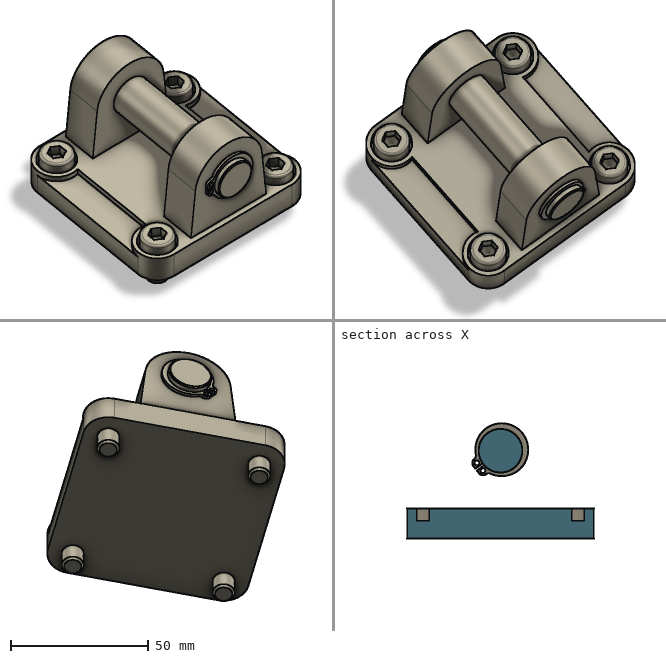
import cadquery as cq
import math

plate_size = 75.0
plate_height = 11.0
corner_radius = 9.3
recess_depth = 2.35
recess_start = 25.8

screw_offset = plate_size / 2 - corner_radius
counterbore_diameter = 15.0
head_diameter = 13.0
head_height = 8.0
head_top = 14.6
head_rounding = 0.9
shank_diameter = 8.0
shank_chamfer = 0.85
shank_bottom = -7.5
hex_across_flats = 6.0
hex_depth = 4.0
hex_tip_angle = 120.0
head_seat = head_top - head_height

pin_length = 78.0
pin_diameter = 16.0
pin_chamfer = 0.5
pin_height = 32.0
lug_inner = 20.0
lug_outer = 35.1
lug_radius = 16.0
lug_foot_half_width = 18.0

ring_thickness = 1.2
ring_clearance = 0.3
ring_radius = 9.7
ring_offset = 0.585
ear_reach = 11.2
ear_half_width = 3.5
ear_rounding = 1.7
ear_neck_fillet = 1.55
ear_hole_diameter = 1.7
ear_hole_reach = ear_reach - ear_rounding
ear_hole_spacing = 2 * (ear_half_width - ear_rounding)
ring_gap = 0.85
left_ring_turn = -142.0
right_ring_turn = 180.0

screw_places = [(sx * screw_offset, sy * screw_offset) for sx in (-1, 1) for sy in (-1, 1)]


def make_plate():
    plate = cq.Workplane("XY").box(plate_size, plate_size, plate_height, centered=(True, True, False))
    plate = plate.edges("|Z").fillet(corner_radius)

    recess_width = plate_size / 2 - recess_start
    recess_centre = recess_start + recess_width / 2
    recesses = (
        cq.Workplane("XY", origin=(0, 0, plate_height - recess_depth))
        .pushPoints([(0, -recess_centre), (0, recess_centre)])
        .rect(2 * screw_offset, recess_width)
        .extrude(recess_depth)
    )
    bosses = cq.Workplane("XY").pushPoints(screw_places).circle(corner_radius).extrude(plate_height)
    plate = plate.cut(recesses.cut(bosses))

    counterbores = (
        cq.Workplane("XY", origin=(0, 0, head_seat))
        .pushPoints(screw_places)
        .circle(counterbore_diameter / 2)
        .extrude(plate_height - head_seat)
    )
    return plate.cut(counterbores)


def make_screw():
    head = cq.Workplane("XY", origin=(0, 0, head_seat)).circle(head_diameter / 2).extrude(head_height)
    head = head.faces(">Z").edges().fillet(head_rounding)
    shank = (
        cq.Workplane("XY", origin=(0, 0, shank_bottom))
        .circle(shank_diameter / 2)
        .extrude(head_seat - shank_bottom)
        .faces("<Z")
        .chamfer(shank_chamfer)
    )

    hex_across_corners = hex_across_flats / math.cos(math.pi / 6)
    hex_corner_radius = hex_across_corners / 2
    tip_depth = hex_corner_radius / math.tan(math.radians(hex_tip_angle / 2))
    socket = (
        cq.Workplane("XY", origin=(0, 0, head_top))
        .polygon(6, hex_across_corners)
        .extrude(-hex_depth - tip_depth)
    )
    drill = (
        cq.Workplane("XZ")
        .moveTo(0, head_top)
        .lineTo(hex_corner_radius, head_top)
        .lineTo(hex_corner_radius, head_top - hex_depth)
        .lineTo(0, head_top - hex_depth - tip_depth)
        .close()
        .revolve(360, (0, 0), (0, 1))
    )
    return head.union(shank).cut(socket.intersect(drill))


def make_lug(x_start):
    foot_drop = pin_height - plate_height
    foot_distance = math.hypot(lug_foot_half_width, foot_drop)
    tangent_angle = math.acos(lug_radius / foot_distance) - math.atan2(foot_drop, lug_foot_half_width)
    tangent_y = lug_radius * math.cos(tangent_angle)
    tangent_z = pin_height + lug_radius * math.sin(tangent_angle)
    return (
        cq.Workplane("YZ", origin=(x_start, 0, 0))
        .moveTo(-lug_foot_half_width, plate_height)
        .lineTo(-tangent_y, tangent_z)
        .threePointArc((0, pin_height + lug_radius), (tangent_y, tangent_z))
        .lineTo(lug_foot_half_width, plate_height)
        .close()
        .extrude(lug_outer - lug_inner)
    )


def make_ring(x_start, turn):
    plane = cq.Workplane("YZ", origin=(x_start, 0, pin_height))
    rim = plane.center(-ring_offset, 0).circle(ring_radius).extrude(ring_thickness)
    ears = (
        plane.center(ear_reach / 2, 0)
        .rect(ear_reach, 2 * ear_half_width)
        .extrude(ring_thickness)
        .edges("|X and >Y")
        .fillet(ear_rounding)
    )
    ring = rim.union(ears)

    neck_y = math.sqrt(ring_radius**2 - ear_half_width**2) - ring_offset
    margin = 0.1
    necks = cq.selectors.BoxSelector(
        (x_start - margin, neck_y - margin, pin_height - ear_half_width - margin),
        (x_start + ring_thickness + margin, neck_y + margin, pin_height + ear_half_width + margin),
    )
    ring = ring.edges("|X").edges(necks).fillet(ear_neck_fillet)

    gap = plane.center(ear_reach / 2, 0).rect(ear_reach, ring_gap).extrude(ring_thickness)
    holes = (
        plane.center(ear_hole_reach, 0)
        .pushPoints([(0, -ear_hole_spacing / 2), (0, ear_hole_spacing / 2)])
        .circle(ear_hole_diameter / 2)
        .extrude(ring_thickness)
    )
    return ring.cut(gap).cut(holes).rotate((0, 0, pin_height), (1, 0, pin_height), turn)


pin = (
    cq.Workplane("YZ", origin=(-pin_length / 2, 0, pin_height))
    .circle(pin_diameter / 2)
    .extrude(pin_length)
    .faces("<X or >X")
    .chamfer(pin_chamfer)
)

ring_start = lug_outer + ring_clearance
result = make_plate()
for screw_x, screw_y in screw_places:
    result = result.union(make_screw().translate((screw_x, screw_y, 0)))
result = result.union(make_lug(-lug_outer)).union(make_lug(lug_inner))
result = result.union(make_ring(-ring_start - ring_thickness, left_ring_turn))
result = result.union(make_ring(ring_start, right_ring_turn))
result = result.union(pin)